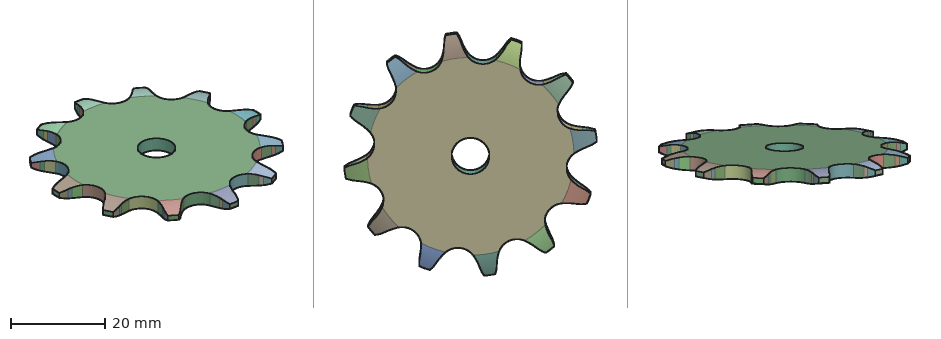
import cadquery as cq
import math

tooth_count = 12
overall_width = 52.6
chain_pitch = 12.7
roller_diameter = 7.9
seat_radius = 4.0
thickness = 3.0
bore_diameter = 8.0
tip_thickness = 1.2
flat_face_radius = 21.9
cutter_clearance = 0.5

half_step = math.pi / tooth_count
seat_angle = math.radians(35 + 60 / tooth_count)
working_angle = math.radians(18 - 56 / tooth_count)
line_angle = working_angle - seat_angle
working_centre_distance = 0.8 * roller_diameter
topping_centre_distance = 1.5 * roller_diameter
working_radius = working_centre_distance + seat_radius
pitch_radius = chain_pitch / (2 * math.sin(half_step))


def polar(centre, radius, angle):
    """Point at a distance and angle from a centre."""
    return (centre[0] + radius * math.cos(angle), centre[1] + radius * math.sin(angle))


seat_centre = (0, pitch_radius)
working_centre = polar(seat_centre, working_centre_distance, math.pi - seat_angle)
topping_centre = polar(seat_centre, topping_centre_distance, -half_step)

seat_bottom = (0, pitch_radius - seat_radius)
seat_end = polar(seat_centre, seat_radius, -seat_angle)
working_mid = polar(working_centre, working_radius, working_angle / 2 - seat_angle)
working_end = polar(working_centre, working_radius, line_angle)

topping_radius = (topping_centre[0] - working_end[0]) * math.cos(line_angle) + (
    topping_centre[1] - working_end[1]
) * math.sin(line_angle)
line_end = polar(topping_centre, topping_radius, math.pi + line_angle)

tip_angle = math.pi - math.asin((overall_width / 2 - topping_centre[1]) / topping_radius)
topping_mid = polar(topping_centre, topping_radius, (math.pi + line_angle + tip_angle) / 2)
tip = polar(topping_centre, topping_radius, tip_angle)
tip_radius = math.hypot(*tip)


def mirrored(point):
    """Matching point on the left flank of the gap."""
    return (-point[0], point[1])


def gap_cutter():
    """Solid that removes one tooth gap, centred on +Y."""
    clear_y = tip_radius + cutter_clearance
    return (
        cq.Workplane("XY", origin=(0, 0, -thickness / 2))
        .moveTo(*seat_end)
        .threePointArc(working_mid, working_end)
        .lineTo(*line_end)
        .threePointArc(topping_mid, tip)
        .lineTo(tip[0], clear_y)
        .lineTo(-tip[0], clear_y)
        .lineTo(*mirrored(tip))
        .threePointArc(mirrored(topping_mid), mirrored(line_end))
        .lineTo(*mirrored(working_end))
        .threePointArc(mirrored(working_mid), mirrored(seat_end))
        .threePointArc(seat_bottom, seat_end)
        .close()
        .extrude(thickness)
    )


def blank():
    """Disc whose rim curves down on both faces, tangent to the flat faces."""
    half = thickness / 2
    half_tip = tip_thickness / 2
    run = tip_radius - flat_face_radius
    drop = half - half_tip
    curve_radius = (run**2 + drop**2) / (2 * drop)
    mid_angle = math.asin(run / curve_radius) / 2
    mid_r = flat_face_radius + curve_radius * math.sin(mid_angle)
    mid_z = half - curve_radius * (1 - math.cos(mid_angle))
    return (
        cq.Workplane("XZ")
        .moveTo(0, -half)
        .lineTo(flat_face_radius, -half)
        .threePointArc((mid_r, -mid_z), (tip_radius, -half_tip))
        .lineTo(tip_radius, half_tip)
        .threePointArc((mid_r, mid_z), (flat_face_radius, half))
        .lineTo(0, half)
        .close()
        .revolve(360, (0, 0, 0), (0, 1, 0))
    )


result = blank().faces(">Z").workplane().hole(bore_diameter)
cutter = gap_cutter()
for gap in range(tooth_count):
    result = result.cut(cutter.rotate((0, 0, 0), (0, 0, 1), gap * 360 / tooth_count))